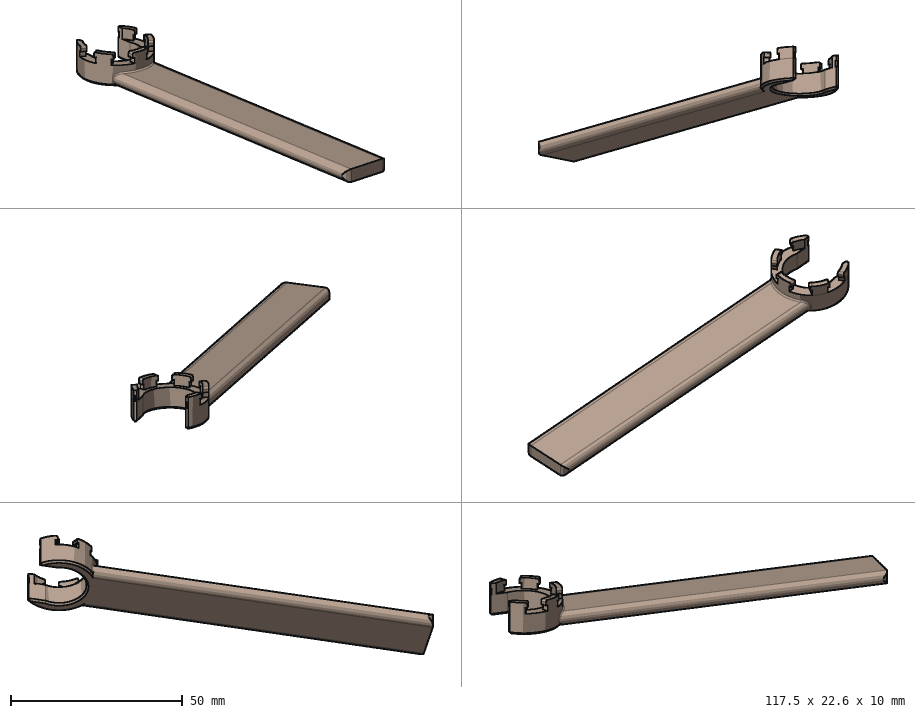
import cadquery as cq

ring_x = 7.4
outer_radius = 11.3
inner_radius = 8.0
ring_height = 6.6
mouth_width = 15.3
bottom_chamfer = 0.6

total_height = 10.0
tooth_inner_radius = 9.5
tooth_angles = (-120, -60, 0, 60, 120)
neck_width = 4.7
head_width = 5.9
head_bottom = 8.3
head_round = 0.6

handle_end = 117.5
handle_width = 16.1
handle_thickness = 4.1
handle_round = handle_thickness / 2
junction_fillet = 0.5


def ring_cylinder(radius, height):
    return cq.Workplane("XY").center(ring_x, 0).circle(radius).extrude(height)


def make_opening():
    """Bore, parallel-sided mouth and the flat cut across the jaw tips."""
    mouth = cq.Workplane("XY").box(
        ring_x, mouth_width, total_height, centered=(False, True, False)
    )
    tip_trim = (
        cq.Workplane("XY")
        .box(outer_radius, 2 * outer_radius, total_height, centered=(False, True, False))
        .translate((-outer_radius, 0, 0))
    )
    return ring_cylinder(inner_radius, total_height).union(mouth).union(tip_trim)


def make_ring(opening):
    """Open ring with its whole lower outline chamfered."""
    ring = ring_cylinder(outer_radius, ring_height).cut(opening)
    return ring.faces("<Z").chamfer(bottom_chamfer)


def radial_bar(width, bottom, top):
    """Rectangular bar running from the ring axis outwards along +X."""
    return cq.Workplane("XY", origin=(ring_x, 0, bottom)).box(
        outer_radius, width, top - bottom, centered=(False, True, False)
    )


def make_teeth(opening):
    """T-shaped teeth with rounded heads, trimmed to the outer band of the ring."""
    neck = radial_bar(neck_width, ring_height, head_bottom)
    head = radial_bar(head_width, head_bottom, total_height)
    head = head.edges("|X and >Z").fillet(head_round)
    tooth = neck.union(head)
    teeth = cq.Workplane("XY")
    for angle in tooth_angles:
        teeth = teeth.add(tooth.rotate((ring_x, 0, 0), (ring_x, 0, 1), angle))
    band = (
        ring_cylinder(outer_radius, total_height)
        .cut(ring_cylinder(tooth_inner_radius, total_height))
        .cut(opening)
    )
    return teeth.combine().intersect(band)


def make_handle():
    """Flat bar with fully rounded long edges and rounded end corners."""
    length = handle_end - ring_x
    bar = (
        cq.Workplane("YZ", origin=(ring_x, 0, handle_thickness / 2))
        .slot2D(handle_width, handle_thickness)
        .extrude(length)
    )
    plan = (
        cq.Workplane("XY")
        .center(ring_x + length / 2, 0)
        .rect(length, handle_width)
        .extrude(handle_thickness)
        .edges("|Z and >X")
        .fillet(handle_round)
    )
    return bar.intersect(plan)


def join_handle(ring, handle):
    """Attach the handle outside the ring wall and blend the joint."""
    bar = handle.cut(ring_cylinder((inner_radius + outer_radius) / 2, ring_height))
    joined = ring.union(bar)
    margin = 0.1
    joint = joined.edges(
        cq.selectors.BoxSelector(
            (ring_x + handle_width / 4, -handle_width, bottom_chamfer + margin),
            (ring_x + outer_radius + margin, handle_width, handle_thickness + margin),
        )
    )
    return joint.fillet(junction_fillet)


opening = make_opening()
toothed_ring = make_ring(opening).union(make_teeth(opening))
result = join_handle(toothed_ring, make_handle())